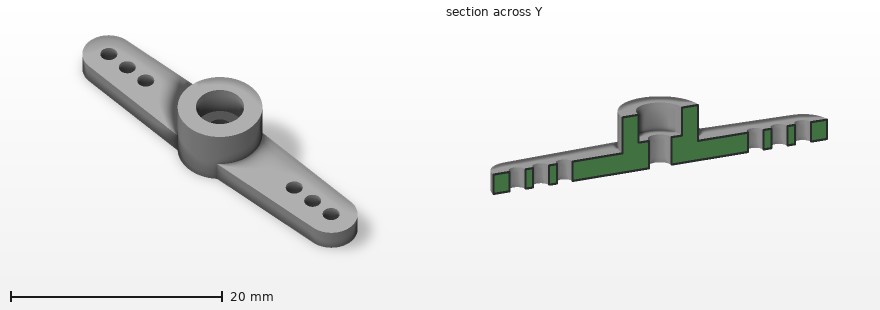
import cadquery as cq
import math

length = 35.0
height = 5.6
hub_diameter = 8.0
arm_thickness = 2.0

root_diameter = 6.2
root_radius = root_diameter / 2
tip_radius = 2.5
tip_center_x = length / 2 - tip_radius

bore_diameter = 2.3
socket_diameter = 4.55
socket_depth = height / 2
link_hole_diameter = 1.6
first_link_hole_x = 10.0
link_hole_pitch = 2.5
link_holes_per_arm = 3


def make_arm(side):
    """Arm reaching from the hub axis toward +X (side=1) or -X (side=-1)."""
    taper_angle = math.asin((root_radius - tip_radius) / tip_center_x)
    root_x = root_radius * math.sin(taper_angle)
    root_y = root_radius * math.cos(taper_angle)
    tangent_x = tip_center_x + tip_radius * math.sin(taper_angle)
    tangent_y = tip_radius * math.cos(taper_angle)
    return (
        cq.Workplane("XY")
        .moveTo(side * root_x, -root_y)
        .lineTo(side * tangent_x, -tangent_y)
        .threePointArc((side * length / 2, 0), (side * tangent_x, tangent_y))
        .lineTo(side * root_x, root_y)
        .close()
        .extrude(arm_thickness)
    )


body = cq.Workplane("XY").circle(hub_diameter / 2).extrude(height)
for side in (-1, 1):
    body = body.union(make_arm(side))

bore = cq.Workplane("XY").circle(bore_diameter / 2).extrude(height)
socket = (
    cq.Workplane("XY")
    .workplane(offset=height - socket_depth)
    .circle(socket_diameter / 2)
    .extrude(socket_depth)
)
body = body.cut(bore).cut(socket)

link_hole_points = [
    (side * (first_link_hole_x + i * link_hole_pitch), 0)
    for side in (-1, 1)
    for i in range(link_holes_per_arm)
]
link_holes = (
    cq.Workplane("XY")
    .pushPoints(link_hole_points)
    .circle(link_hole_diameter / 2)
    .extrude(arm_thickness)
)
result = body.cut(link_holes)